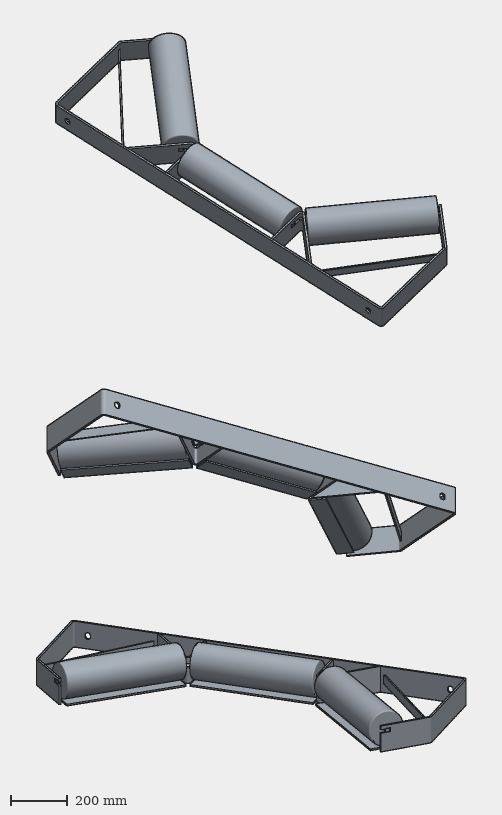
import cadquery as cq
import math

frame_width = 1490.0
frame_height = 100.0
plate = 8.0
bend_inner = 6.0
bend_outer = bend_inner + plate
frame_corner_y = 368.0
flange_length = 195.0

roller_radius = 67.0
roller_length = 465.0
roller_edge = 5.0
roller_z = 70.0
centre_roller_y = 124.0
side_roller_x = 451.0
side_roller_y = 311.0
trough_angle = 45.0
lean_angle = 1.1
lip_thickness = 6.0
lip_width = roller_radius - roller_edge
lip_bite = 0.7

stub_radius = 9.7
flat_height = 14.0
roller_gap = 3.7
slot_reach = 90.0
shaft_length = roller_length + 2 * (roller_gap + plate)

brace_thickness = 6.0
brace_height = 35.0
brace_z = 35.0
brace_foot_x = 437.0
brace_head_y = 356.0

hole_x = 684.0
hole_width = 21.0
hole_height = 25.0

sides = (-1, 1)
half_width = frame_width / 2
side_roller_z = roller_z + roller_length / 2 * math.sin(math.radians(lean_angle))
along = math.sqrt(0.5)


def mirrored(points):
    """The same plan points on the other side of X = 0."""
    return [(-x, y) for x, y in points]


def strip(points, height):
    """Upright plate with the given outline in plan, standing on Z = 0."""
    return cq.Workplane("XY").polyline(points).close().extrude(height)


def round_bends(plate_body, outer_corners, inner_corners, height):
    """Round the upright edges of a plate at the given plan corners."""
    for corners, radius in ((outer_corners, bend_outer), (inner_corners, bend_inner)):
        for x, y in corners:
            edge = cq.selectors.NearestToPointSelector((x, y, height / 2))
            plate_body = plate_body.edges("|Z").edges(edge).fillet(radius)
    return plate_body


def place_centre(body):
    """Move a body built along X at the origin to the centre roller position."""
    return body.translate((0, centre_roller_y, roller_z))


def place_side(body, side):
    """Move a body built along X at the origin to a side roller position (side is -1 or +1)."""
    leaned = body.rotate((0, 0, 0), (0, 1, 0), -side * lean_angle)
    turned = leaned.rotate((0, 0, 0), (0, 0, 1), side * trough_angle)
    return turned.translate((side * side_roller_x, side_roller_y, side_roller_z))


def make_roller():
    """Roller shell with round rims, flatted shaft stubs and a bottom lip, along X at the origin."""
    shell = (
        cq.Workplane("YZ")
        .circle(roller_radius)
        .extrude(roller_length)
        .translate((-roller_length / 2, 0, 0))
        .edges()
        .fillet(roller_edge)
    )
    flats = cq.Workplane("XY").box(shaft_length, 2 * stub_radius, flat_height)
    bar = cq.Workplane("YZ").circle(stub_radius).extrude(shaft_length)
    shaft = bar.translate((-shaft_length / 2, 0, 0)).intersect(flats)
    lip = (
        cq.Workplane("XY")
        .box(roller_length, lip_width, lip_thickness + lip_bite, centered=(True, False, False))
        .translate((0, 0, -roller_radius - lip_thickness))
    )
    return shell.union(shaft).union(lip)


def make_slot_cutter(end):
    """Cutter for a stub slot at one end (-1 or +1) of a roller along X, open towards +Y."""
    cut_length = 2 * (roller_gap + plate)
    return (
        cq.Workplane("XY")
        .box(cut_length, stub_radius + slot_reach, flat_height)
        .translate((end * (roller_length + cut_length) / 2, (slot_reach - stub_radius) / 2, 0))
    )


def make_frame():
    """Front bar, two uprights and two slanted end flanges bent from one plate."""
    inner_x = half_width - plate
    inner_corner_y = frame_corner_y - plate * math.tan(math.radians(trough_angle / 2))
    tip_x = half_width - flange_length * along
    tip_y = frame_corner_y + flange_length * along
    half_outer = [(half_width, 0), (half_width, frame_corner_y), (tip_x, tip_y)]
    half_inner = [
        (tip_x - plate * along, tip_y - plate * along),
        (inner_x, inner_corner_y),
        (inner_x, plate),
    ]
    right = half_outer + half_inner
    left = mirrored(reversed(right))
    frame = strip(right + left, frame_height)

    outer = [(side * x, y) for side in sides for x, y in half_outer[:2]]
    inner = [(side * x, y) for side in sides for x, y in half_inner[1:]]
    frame = round_bends(frame, outer, inner, frame_height)

    holes = (
        cq.Workplane("XZ")
        .pushPoints([(-hole_x, frame_height / 2), (hole_x, frame_height / 2)])
        .slot2D(hole_height, hole_width, 90)
        .extrude(-plate)
    )
    frame = frame.cut(holes)
    for side in sides:
        frame = frame.cut(place_side(make_slot_cutter(side), side))
    return frame


def make_bracket(side):
    """Bracket between the centre and a side roller: upright post and slanted leg, bent from one plate."""
    post_near = roller_length / 2 + roller_gap
    post_far = post_near + plate
    axis_distance = (side_roller_x + side_roller_y) * along
    near_rise = (axis_distance - roller_length / 2 - roller_gap) / along
    far_rise = near_rise - plate / along
    tip = (post_near, near_rise - post_near)
    notch = (post_far, far_rise - post_far)
    outline = [
        (post_near, plate),
        tip,
        (near_rise - plate, plate),
        (far_rise - plate, plate),
        notch,
        (post_far, plate),
    ]
    if side < 0:
        outline, tip, notch = mirrored(outline), *mirrored([tip, notch])
    bracket = strip(outline, frame_height)
    bracket = round_bends(bracket, [tip], [notch], frame_height)

    post_slot = place_centre(make_slot_cutter(side))
    leg_slot = place_side(make_slot_cutter(-side), side)
    return bracket.cut(post_slot).cut(leg_slot)


def make_brace(side):
    """Thin diagonal brace from the front bar to the inside of a frame corner."""
    foot = (brace_foot_x, plate)
    head = (half_width - plate, brace_head_y)
    length = math.dist(foot, head)
    foot_half = brace_thickness / 2 * length / (head[1] - foot[1])
    head_half = brace_thickness / 2 * length / (head[0] - foot[0])
    outline = [
        (foot[0] - foot_half, foot[1]),
        (head[0], head[1] + head_half),
        (head[0], head[1] - head_half),
        (foot[0] + foot_half, foot[1]),
    ]
    if side < 0:
        outline = mirrored(outline)
    return strip(outline, brace_height).translate((0, 0, brace_z))


frame = make_frame()
brackets = [make_bracket(side) for side in sides]
braces = [make_brace(side) for side in sides]
centre_roller = place_centre(make_roller())
side_rollers = [place_side(make_roller(), side) for side in sides]

bodies = [frame, *brackets, *braces, centre_roller, *side_rollers]
result = cq.Compound.makeCompound([body.val() for body in bodies])